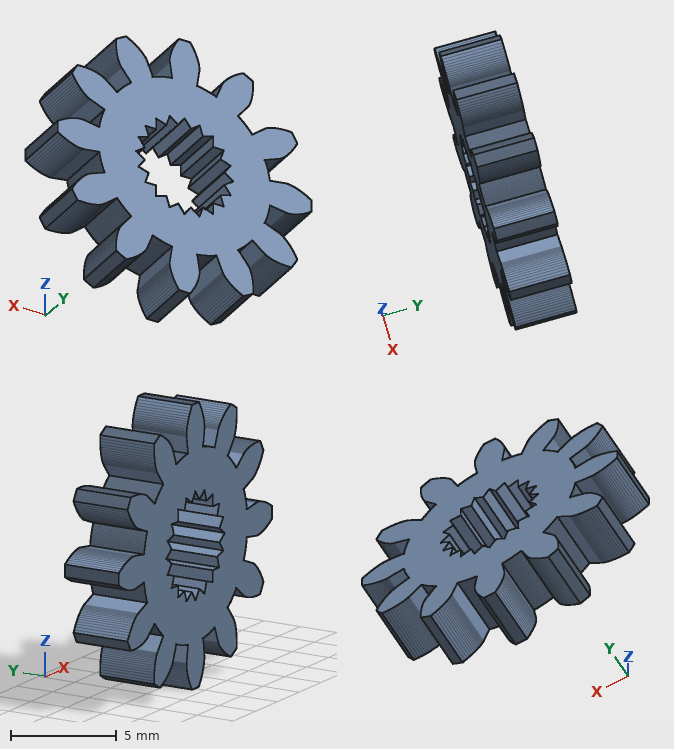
import cadquery as cq
import math

TEETH = 12
OUTER_RADIUS = 7.0
FACE_WIDTH = 3.0
PRESSURE_ANGLE = math.radians(20)
ADDENDUM = 1.0
DEDENDUM = 1.25
FACETS = 19

BORE_POINTS = 20
BORE_POINT_DIAMETER = 5.33

module = 2 * OUTER_RADIUS / (TEETH + 2 * ADDENDUM)
pitch_radius = module * TEETH / 2
root_radius = pitch_radius - DEDENDUM * module
base_radius = pitch_radius * math.cos(PRESSURE_ANGLE)
tooth_pitch = 2 * math.pi / TEETH

bore_pitch = 2 * math.pi / BORE_POINTS
bore_point_radius = BORE_POINT_DIAMETER / 2
ridge_half_angle = math.pi / 4
groove_half_angle = ridge_half_angle - bore_pitch / 2
bore_ridge_radius = bore_point_radius * math.sin(groove_half_angle) / math.sin(ridge_half_angle)


def polar(radius, angle):
    """Point at a radius and angle from the gear axis."""
    return (radius * math.cos(angle), radius * math.sin(angle))


def involute(roll):
    """Angle that the involute has turned after unrolling by the given roll angle."""
    return roll - math.atan(roll)


def flank():
    """Radius and half tooth angle along one involute flank, from base circle to tip."""
    half_angle_at_base = tooth_pitch / 4 + involute(math.tan(PRESSURE_ANGLE))
    tip_roll = math.sqrt((OUTER_RADIUS / base_radius) ** 2 - 1)
    rolls = [tip_roll * i / FACETS for i in range(FACETS + 1)]
    return [(base_radius * math.hypot(1, roll), half_angle_at_base - involute(roll)) for roll in rolls]


def arc(radius, start, end):
    """Points that split an arc about the gear axis into facets, both ends included."""
    step = (end - start) / FACETS
    return [polar(radius, start + step * i) for i in range(FACETS + 1)]


def gear_outline():
    """Closed outline of all teeth; flanks run radially below the base circle."""
    side = flank()
    half_root_angle = side[0][1]
    half_tip_angle = side[-1][1]
    points = []
    for tooth in range(TEETH):
        center = tooth * tooth_pitch
        points += [polar(radius, center - angle) for radius, angle in side[:-1]]
        points += arc(OUTER_RADIUS, center - half_tip_angle, center + half_tip_angle)
        points += [polar(radius, center + angle) for radius, angle in reversed(side[:-1])]
        points += arc(root_radius, center + half_root_angle, center + tooth_pitch - half_root_angle)
    return points


def bore_outline():
    """Star-shaped outline with sharp grooves, one of them on each axis."""
    points = []
    for groove in range(BORE_POINTS):
        center = groove * bore_pitch
        points.append(polar(bore_point_radius, center))
        points.append(polar(bore_ridge_radius, center + bore_pitch / 2))
    return points


result = (
    cq.Workplane("XZ")
    .polyline(gear_outline())
    .close()
    .polyline(bore_outline())
    .close()
    .extrude(FACE_WIDTH / 2, both=True)
)